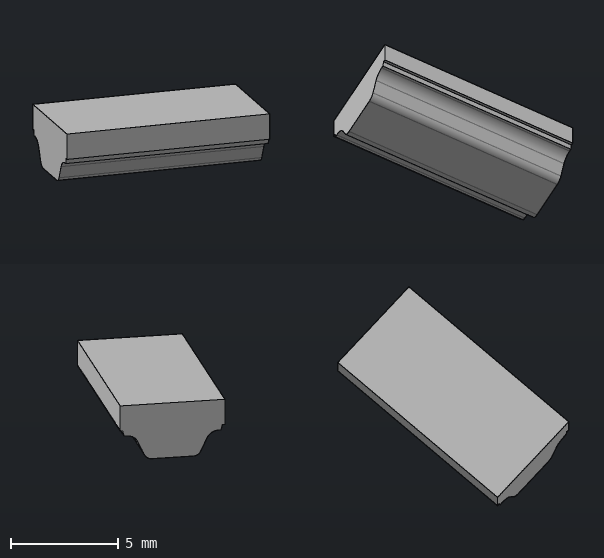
import cadquery as cq

width = 5.0
length = 10.0
height = 2.7

block_bottom = 1.46
shoulder_z = 1.2
ledge_width = 0.12
step_inset = 0.19

rib_half_bottom = 1.24
flank_slope = 2.1
root_radius = 0.6
tip_radius = 0.4

half_width = width / 2
step_top_x = half_width - ledge_width
step_bottom_x = half_width - step_inset
rib_half_top = rib_half_bottom + shoulder_z / flank_slope


def extruded(profile):
    """Extrude an XZ profile along the full length, centred on Y = 0."""
    return profile.extrude(length / 2, both=True)


def upper_block():
    """Block above the shoulder, with a sloped step along both lower edges."""
    return extruded(
        cq.Workplane("XZ")
        .moveTo(-half_width, height)
        .lineTo(-half_width, block_bottom)
        .lineTo(-step_top_x, block_bottom)
        .lineTo(-step_bottom_x, shoulder_z)
        .lineTo(step_bottom_x, shoulder_z)
        .lineTo(step_top_x, block_bottom)
        .lineTo(half_width, block_bottom)
        .lineTo(half_width, height)
        .close()
    )


def rib():
    """Trapezoidal rib hanging below the shoulder."""
    return extruded(
        cq.Workplane("XZ").polyline([
            (-rib_half_top, shoulder_z),
            (-rib_half_bottom, 0),
            (rib_half_bottom, 0),
            (rib_half_top, shoulder_z),
        ]).close()
    )


def lengthwise_edges(x, z):
    """Select the mirrored pair of edges running along Y at (+/-x, z)."""
    left = cq.NearestToPointSelector((-x, 0, z))
    right = cq.NearestToPointSelector((x, 0, z))
    return left + right


result = upper_block().union(rib())
result = result.edges(lengthwise_edges(rib_half_top, shoulder_z)).fillet(root_radius)
result = result.edges(lengthwise_edges(rib_half_bottom, 0)).fillet(tip_radius)